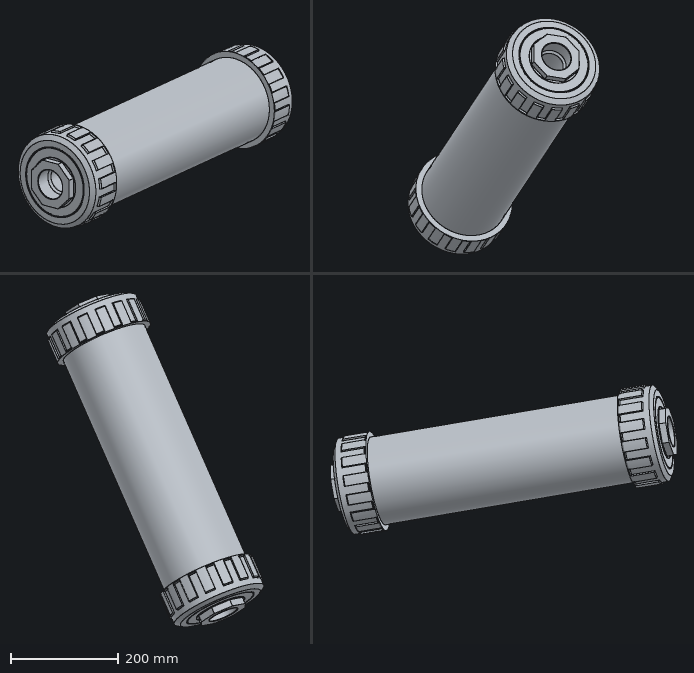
import cadquery as cq
import math

LENGTH = 643.5
HALF_LENGTH = LENGTH / 2

TUBE_DIAMETER = 166.0

NUT_DIAMETER = 183.0
NUT_FACE_DIAMETER = 163.0
NUT_CHAMFER_LENGTH = 6.5
NUT_LENGTH = 66.0
WRENCH_END_LENGTH = 14.0
NUT_OUTER_FACE = HALF_LENGTH - WRENCH_END_LENGTH
NUT_INNER_FACE = NUT_OUTER_FACE - NUT_LENGTH

GRIP_DIAMETER = 189.0
GRIP_SLOPE_LENGTH = 2.0
RIM_LENGTH = 2.0
PAD_COUNT = 16
PAD_PITCH = 360 / PAD_COUNT
PAD_WIDTH = 20.0
PAD_LENGTH = 48.0
PAD_OUTER_END = NUT_INNER_FACE + PAD_LENGTH
PAD_OFFSET_ANGLE = PAD_PITCH / 3

GAP_OUTER_DIAMETER = 137.0
GAP_INNER_DIAMETER = 133.0
GAP_DEPTH = 3.0

OCTAGON_SIDES = 8
OCTAGON_FLATS = 89.0
OCTAGON_CORNERS = OCTAGON_FLATS / math.cos(math.pi / OCTAGON_SIDES)
COLLAR_DIAMETER = 98.0
COLLAR_HEIGHT = 1.0

BORE_DIAMETER = 48.0
SOCKET_DIAMETER = 56.5
SOCKET_DEPTH = 29.5
SOCKET_FLOOR_LENGTH = (SOCKET_DIAMETER - BORE_DIAMETER) / 2
SOCKET_MOUTH_DIAMETER = 58.5
SOCKET_MOUTH_LENGTH = (SOCKET_MOUTH_DIAMETER - SOCKET_DIAMETER) / 2


def turned(profile):
    """Solid turned about the Y axis from (diameter, Y position) pairs."""
    first_y = profile[0][1]
    last_y = profile[-1][1]
    outline = [(0, first_y)]
    outline += [(diameter / 2, y) for diameter, y in profile]
    outline.append((0, last_y))
    return cq.Workplane("XY").polyline(outline).close().revolve(360, (0, 0, 0), (0, 1, 0))


def cylinder(diameter, y_start, y_end):
    """Solid cylinder on the Y axis between two Y positions."""
    return turned([(diameter, y_start), (diameter, y_end)])


def nut_blank():
    """Round nut body with a chamfered outer face and a sloped rim at the tube side."""
    rim_top = NUT_INNER_FACE + RIM_LENGTH
    return turned([
        (GRIP_DIAMETER, NUT_INNER_FACE),
        (GRIP_DIAMETER, rim_top),
        (NUT_DIAMETER, rim_top + GRIP_SLOPE_LENGTH),
        (NUT_DIAMETER, NUT_OUTER_FACE - NUT_CHAMFER_LENGTH),
        (NUT_FACE_DIAMETER, NUT_OUTER_FACE),
    ])


def grip_pads():
    """Raised pads around the nut, with parallel sides, round tops and sloped ends."""
    envelope = turned([
        (GRIP_DIAMETER, NUT_INNER_FACE),
        (GRIP_DIAMETER, PAD_OUTER_END - GRIP_SLOPE_LENGTH),
        (NUT_DIAMETER, PAD_OUTER_END),
    ])
    bar = (
        cq.Workplane("XY")
        .box(PAD_WIDTH, PAD_LENGTH, GRIP_DIAMETER / 2, centered=(True, False, False))
        .translate((0, NUT_INNER_FACE, 0))
    )
    pad = bar.intersect(envelope)
    pads = cq.Workplane("XY")
    for index in range(PAD_COUNT):
        angle = PAD_OFFSET_ANGLE + index * PAD_PITCH
        pads = pads.add(pad.rotate((0, 0, 0), (0, 1, 0), angle))
    return pads.combine()


def ring_gap():
    """Thin ring to cut from the nut face."""
    gap_floor = NUT_OUTER_FACE - GAP_DEPTH
    outer = cylinder(GAP_OUTER_DIAMETER, gap_floor, NUT_OUTER_FACE)
    return outer.cut(cylinder(GAP_INNER_DIAMETER, gap_floor, NUT_OUTER_FACE))


def wrench_end():
    """Octagon with flats facing X and Z, on a low round collar."""
    collar = cylinder(COLLAR_DIAMETER, NUT_INNER_FACE, NUT_OUTER_FACE + COLLAR_HEIGHT)
    octagon = (
        cq.Workplane("XZ", origin=(0, HALF_LENGTH, 0))
        .polygon(OCTAGON_SIDES, OCTAGON_CORNERS)
        .extrude(WRENCH_END_LENGTH + NUT_LENGTH)
        .rotate((0, 0, 0), (0, 1, 0), 180 / OCTAGON_SIDES)
    )
    return collar.union(octagon)


def socket():
    """Bore socket to cut, with a chamfered mouth and a tapered floor."""
    floor = HALF_LENGTH - SOCKET_DEPTH
    return turned([
        (BORE_DIAMETER, floor - SOCKET_FLOOR_LENGTH),
        (SOCKET_DIAMETER, floor),
        (SOCKET_DIAMETER, HALF_LENGTH - SOCKET_MOUTH_LENGTH),
        (SOCKET_MOUTH_DIAMETER, HALF_LENGTH),
    ])


tube = cylinder(TUBE_DIAMETER, -NUT_INNER_FACE, NUT_INNER_FACE)
end = nut_blank().union(grip_pads()).cut(ring_gap()).union(wrench_end()).cut(socket())
opposite_end = end.rotate((0, 0, 0), (0, 0, 1), 180)
bore = cylinder(BORE_DIAMETER, -HALF_LENGTH, HALF_LENGTH)
result = tube.union(end).union(opposite_end).cut(bore)